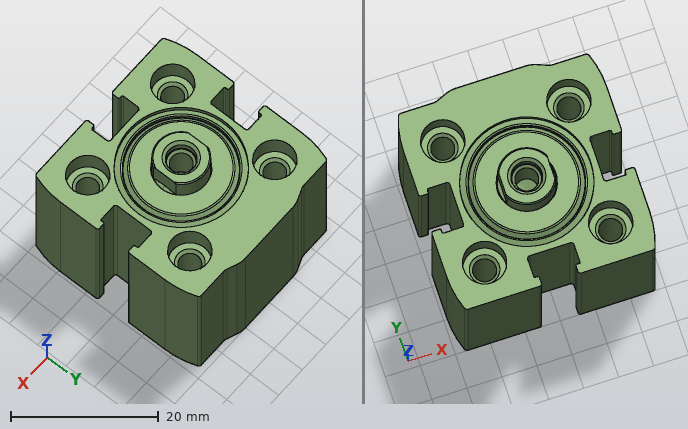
import cadquery as cq
import math


WIDTH = 29.0
LENGTH = 30.0
HALF_WIDTH = WIDTH / 2
BACK_Y = LENGTH - HALF_WIDTH
HEIGHT = 21.0
SIDE_FLAT_HALF = 9.25
SIDE_CURVE_RADIUS = 14.4
CORNER_RADIUS = 0.48
PAD_TOP_HALF = 5.75
PAD_BASE_HALF = 8.22
PAD_TOP_RADIUS = 3.9
PAD_BASE_RADIUS = 1.8

SLOT_OPENING = 5.22
SLOT_INNER_WIDTH = 6.6
SLOT_DEPTH = 4.5
SLOT_LIP = 1.38
SLOT_FLOOR_RADIUS = 0.42
SLOT_LIP_RADIUS = 0.2
SLOT_MOUTH_RADIUS = 0.33

HOLE_OFFSET = 9.0
HOLE_DIAMETER = 3.25
HOLE_CHAMFER_DIAMETER = 4.15
COUNTERBORE_DIAMETER = 6.0
COUNTERBORE_DEPTH = 3.48

RECESS_DIAMETER = 18.2
RECESS_DEPTH = 0.72
RIM_OUTER_DIAMETER = 16.47
RIM_OUTER_DEPTH = 0.2
RIM_INNER_DIAMETER = 16.0
RIM_INNER_DEPTH = 0.3
GROOVE_FLOOR_DIAMETER = 15.78
COVER_DIAMETER = 14.55
COVER_EDGE_DEPTH = 0.2
COVER_FACE_DIAMETER = 14.05
COVER_FACE_DEPTH = 0.12

ROD_DIAMETER = 8.0
ROD_TOP = 24.0
ROD_BOTTOM = 9.0
ROD_CHAMFER = 0.18
ROD_FLATS = 7.0
SHOULDER_TOP = 20.85
SHOULDER_ANGLE = 30.0
CLEARANCE_DIAMETER = 8.28
CLEARANCE_DEPTH = 0.9

ROD_HOLE_MOUTH_DIAMETER = 5.2
ROD_HOLE_DIAMETER = 4.3
ROD_HOLE_STRAIGHT = 1.02
ROD_LEDGE_DIAMETER = 4.02
ROD_BORE_DIAMETER = 3.25
ROD_BORE_DEPTH = 7.5
DRILL_POINT_ANGLE = 118.0


def revolved(profile):
    """Solid of revolution about Z from (radius, height) points."""
    return cq.Workplane("XZ").polyline(profile).close().revolve(360, (0, 0), (0, 1))


def side_curve_point(angle):
    """Point on the +X, +Y side curve, at an angle measured from the end of the flat part."""
    x = HALF_WIDTH - SIDE_CURVE_RADIUS * (1 - math.cos(angle))
    y = SIDE_FLAT_HALF + SIDE_CURVE_RADIUS * math.sin(angle)
    return x, y


def housing_block():
    end_angle = math.asin((HALF_WIDTH - SIDE_FLAT_HALF) / SIDE_CURVE_RADIUS)
    middle_x, middle_y = side_curve_point(end_angle / 2)
    corner_x, corner_y = side_curve_point(end_angle)
    block = (
        cq.Workplane("XY")
        .moveTo(-corner_x, -corner_y)
        .lineTo(corner_x, -corner_y)
        .threePointArc((middle_x, -middle_y), (HALF_WIDTH, -SIDE_FLAT_HALF))
        .lineTo(HALF_WIDTH, SIDE_FLAT_HALF)
        .threePointArc((middle_x, middle_y), (corner_x, corner_y))
        .lineTo(PAD_BASE_HALF, HALF_WIDTH)
        .lineTo(PAD_TOP_HALF, BACK_Y)
        .lineTo(-PAD_TOP_HALF, BACK_Y)
        .lineTo(-PAD_BASE_HALF, HALF_WIDTH)
        .lineTo(-corner_x, corner_y)
        .threePointArc((-middle_x, middle_y), (-HALF_WIDTH, SIDE_FLAT_HALF))
        .lineTo(-HALF_WIDTH, -SIDE_FLAT_HALF)
        .threePointArc((-middle_x, -middle_y), (-corner_x, -corner_y))
        .close()
        .extrude(HEIGHT)
    )
    for x in (-corner_x, corner_x):
        for y in (-corner_y, corner_y):
            block = block.edges(vertical_edge_at(x, y)).fillet(CORNER_RADIUS)
    for side in (-1, 1):
        block = block.edges(vertical_edge_at(side * PAD_BASE_HALF, HALF_WIDTH)).fillet(PAD_BASE_RADIUS)
        block = block.edges(vertical_edge_at(side * PAD_TOP_HALF, BACK_Y)).fillet(PAD_TOP_RADIUS)
    return block


def vertical_edge_at(x, y):
    """Selector for the edge running along the housing's height at (x, y)."""
    return cq.selectors.NearestToPointSelector((x, y, HEIGHT / 2))


def slot_cutter():
    """T-slot opening towards -Y, with a rounded floor, lips and mouth."""
    floor_y = SLOT_DEPTH - HALF_WIDTH
    lip_y = SLOT_LIP - HALF_WIDTH
    chamber = (
        cq.Workplane("XY")
        .rect(SLOT_INNER_WIDTH, floor_y - lip_y)
        .extrude(HEIGHT)
        .translate((0, (floor_y + lip_y) / 2, 0))
        .edges("|Z and >Y")
        .fillet(SLOT_FLOOR_RADIUS)
        .edges("|Z and <Y")
        .fillet(SLOT_LIP_RADIUS)
    )
    mouth = (
        cq.Workplane("XY")
        .rect(SLOT_OPENING, SLOT_DEPTH)
        .extrude(HEIGHT)
        .translate((0, floor_y - SLOT_DEPTH / 2, 0))
    )
    return chamber.union(mouth)


def round_slot_lips(body, angle):
    """Round the inner and outer corners of both lips of the slot turned by an angle about Z."""
    turn = math.radians(angle)
    for side in (-1, 1):
        for y, radius in ((-HALF_WIDTH, SLOT_MOUTH_RADIUS), (SLOT_LIP - HALF_WIDTH, SLOT_LIP_RADIUS)):
            x = side * SLOT_OPENING / 2
            edge_x = x * math.cos(turn) - y * math.sin(turn)
            edge_y = x * math.sin(turn) + y * math.cos(turn)
            body = body.edges(vertical_edge_at(edge_x, edge_y)).fillet(radius)
    return body


def mounting_hole():
    bore = HOLE_DIAMETER / 2
    chamfer = HOLE_CHAMFER_DIAMETER / 2
    counterbore = COUNTERBORE_DIAMETER / 2
    floor = HEIGHT - COUNTERBORE_DEPTH
    return revolved([
        (0, 0),
        (bore, 0),
        (bore, floor - (chamfer - bore)),
        (chamfer, floor),
        (counterbore, floor),
        (counterbore, HEIGHT),
        (0, HEIGHT),
    ])


def cover_recess():
    """Recess above the cover: a sloped ring, a groove and the cover's bevelled face."""
    groove_depth = COVER_EDGE_DEPTH + (GROOVE_FLOOR_DIAMETER - COVER_DIAMETER) / 2
    return revolved([
        (0, HEIGHT),
        (RECESS_DIAMETER / 2, HEIGHT),
        (RECESS_DIAMETER / 2, HEIGHT - RECESS_DEPTH),
        (RIM_OUTER_DIAMETER / 2, HEIGHT - RIM_OUTER_DEPTH),
        (RIM_INNER_DIAMETER / 2, HEIGHT - RIM_INNER_DEPTH),
        (RIM_INNER_DIAMETER / 2, HEIGHT - groove_depth),
        (GROOVE_FLOOR_DIAMETER / 2, HEIGHT - groove_depth),
        (COVER_DIAMETER / 2, HEIGHT - COVER_EDGE_DEPTH),
        (COVER_FACE_DIAMETER / 2, HEIGHT - COVER_FACE_DEPTH),
        (0, HEIGHT - COVER_FACE_DEPTH),
    ])


def rod_bore():
    """Blind bore that fits the rod, with a wider mouth."""
    mouth_floor = HEIGHT - CLEARANCE_DEPTH
    return revolved([
        (0, ROD_BOTTOM),
        (ROD_DIAMETER / 2, ROD_BOTTOM),
        (ROD_DIAMETER / 2, mouth_floor),
        (CLEARANCE_DIAMETER / 2, mouth_floor),
        (CLEARANCE_DIAMETER / 2, HEIGHT),
        (0, HEIGHT),
    ])


def make_housing():
    body = housing_block()
    for angle in (-90, 0, 90):
        body = body.cut(slot_cutter().rotate((0, 0, 0), (0, 0, 1), angle))
        body = round_slot_lips(body, angle)
    for x in (-HOLE_OFFSET, HOLE_OFFSET):
        for y in (-HOLE_OFFSET, HOLE_OFFSET):
            body = body.cut(mounting_hole().translate((x, y, 0)))
    return body.cut(cover_recess()).cut(rod_bore())


def rod_shoulder():
    """Full-round lower part of the rod, ending upwards in a cone as narrow as the flats."""
    radius = ROD_DIAMETER / 2
    cone_drop = (radius - ROD_FLATS / 2) * math.tan(math.radians(SHOULDER_ANGLE))
    return revolved([
        (0, ROD_BOTTOM),
        (radius, ROD_BOTTOM),
        (radius, SHOULDER_TOP - cone_drop),
        (ROD_FLATS / 2, SHOULDER_TOP),
        (0, SHOULDER_TOP),
    ])


def rod_end():
    """Chamfered round bar cut to two flats facing -X and +X."""
    bar_length = ROD_TOP - ROD_BOTTOM
    bar = cq.Workplane("XY").circle(ROD_DIAMETER / 2).extrude(bar_length).faces(">Z").chamfer(ROD_CHAMFER)
    between_flats = cq.Workplane("XY").rect(ROD_FLATS, ROD_DIAMETER).extrude(bar_length)
    return bar.intersect(between_flats).translate((0, 0, ROD_BOTTOM))


def rod_hole():
    """Countersunk hole that narrows to a drilled bore with a conical bottom."""
    mouth = ROD_HOLE_MOUTH_DIAMETER / 2
    upper = ROD_HOLE_DIAMETER / 2
    ledge = ROD_LEDGE_DIAMETER / 2
    lower = ROD_BORE_DIAMETER / 2
    upper_top = ROD_TOP - (mouth - upper)
    upper_bottom = upper_top - ROD_HOLE_STRAIGHT
    bore_bottom = ROD_TOP - ROD_BORE_DEPTH
    point_length = lower / math.tan(math.radians(DRILL_POINT_ANGLE / 2))
    return revolved([
        (0, ROD_TOP),
        (mouth, ROD_TOP),
        (upper, upper_top),
        (upper, upper_bottom),
        (ledge, upper_bottom),
        (lower, upper_bottom - (ledge - lower)),
        (lower, bore_bottom),
        (0, bore_bottom - point_length),
    ])


def make_rod():
    return rod_end().union(rod_shoulder()).cut(rod_hole())


housing = make_housing()
rod = make_rod()

result = cq.Compound.makeCompound([housing.val(), rod.val()])